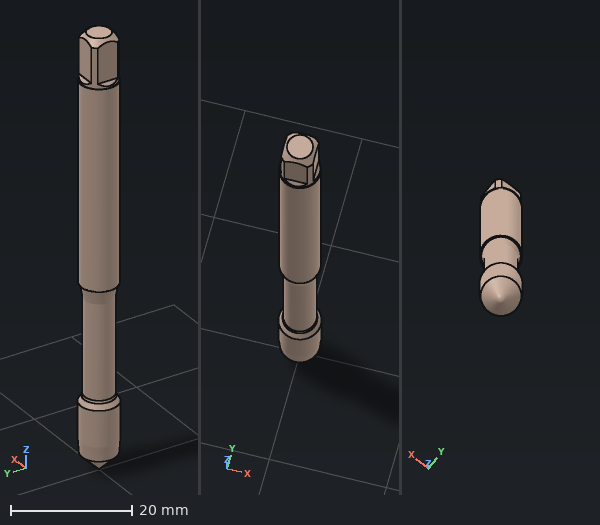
import cadquery as cq

total_length = 83.05
neck_radius = 5.6 / 2

shank_radius = 7.0 / 2
shank_top = 74.1
shank_bottom = 35.6
shoulder_radius = 3.2
neck_top = 32.9
drive_corner_radius = 6.7 / 2
drive_width = 5.5
drive_flat_bottom = 75.1
drive_top_radius = 2.2

head_radius = 7.15 / 2
stub_radius = 2.9
head_top = 14.6
collar_chamfer_top = 14.1
collar_top = 13.1
collar_bottom = 6.15
point_radius = 6.7 / 2
point_height = point_radius


def revolve_profile(points):
    """Revolve a closed (radius, height) profile about the Z axis."""
    return cq.Workplane("XZ").polyline(points).close().revolve(360, (0, 0, 0), (0, 1, 0))


def make_drive_envelope():
    """Square column that flares outward at 45 degrees below the drive flats."""
    flare = shank_radius - drive_width / 2
    flare_bottom = drive_flat_bottom - flare
    base_width = 2 * shank_radius
    base = cq.Workplane("XY").box(base_width, base_width, flare_bottom, centered=(True, True, False))
    ramp = (
        cq.Workplane("XY", origin=(0, 0, flare_bottom))
        .rect(base_width, base_width)
        .workplane(offset=flare)
        .rect(drive_width, drive_width)
        .loft(ruled=True)
    )
    column = (
        cq.Workplane("XY", origin=(0, 0, drive_flat_bottom))
        .rect(drive_width, drive_width)
        .extrude(total_length - drive_flat_bottom)
    )
    return base.union(ramp).union(column)


def make_shank():
    """Turned shank with four flats milled on its upper end."""
    drive_chamfer = drive_corner_radius - drive_top_radius
    turned = revolve_profile([
        (0, head_top),
        (neck_radius, head_top),
        (neck_radius, neck_top),
        (shoulder_radius, shank_bottom),
        (shank_radius, shank_bottom),
        (shank_radius, shank_top),
        (drive_corner_radius, shank_top),
        (drive_corner_radius, total_length - drive_chamfer),
        (drive_top_radius, total_length),
        (0, total_length),
    ])
    return turned.intersect(make_drive_envelope())


def make_head():
    """Pointed head whose stub narrows to meet the neck end to end."""
    return revolve_profile([
        (0, 0),
        (point_radius, point_height),
        (head_radius, collar_bottom),
        (head_radius, collar_top),
        (stub_radius, collar_chamfer_top),
        (neck_radius, head_top),
        (0, head_top),
    ])


shank = make_shank()
head = make_head()
result = cq.Compound.makeCompound([shank.val(), head.val()])